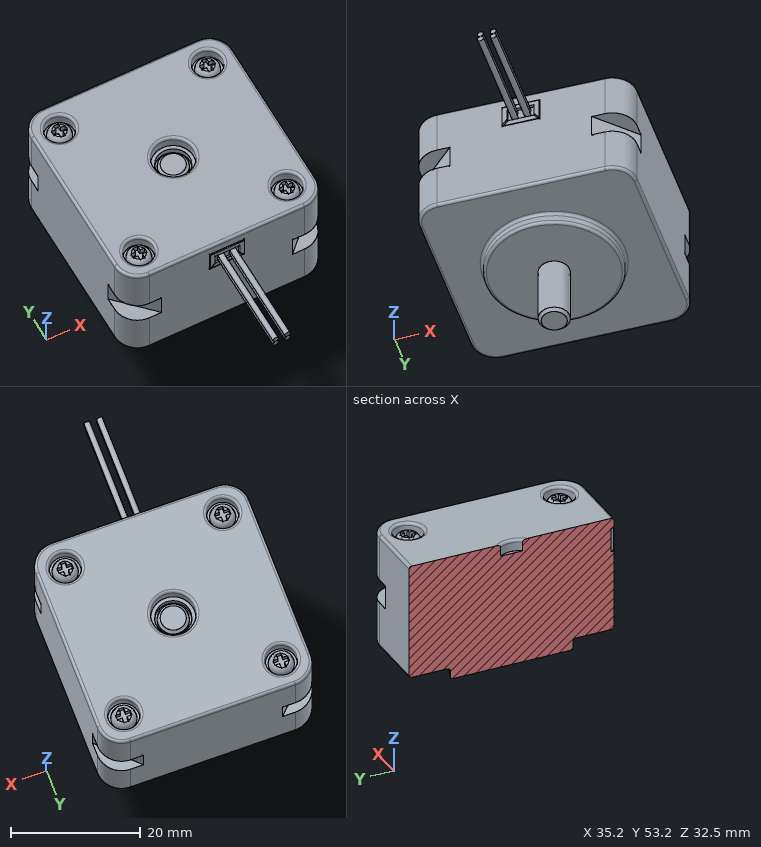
import cadquery as cq


OVERALL_LENGTH = 53.2

BODY_SIDE = 35.2
BODY_HEIGHT = 20.0
CORNER_RADIUS = 4.0
EDGE_FILLET = 0.5

BEVEL_LEG = 6.1
BEVEL_HEIGHT = 4.0

BOSS_DIAMETER = 22.0
BOSS_HEIGHT = 1.95

SHAFT_DIAMETER = 5.0
SHAFT_REACH = 12.5
SHAFT_CHAMFER = 0.5

SHAFT_WELL_DIAMETER = 7.0
SHAFT_WELL_DEPTH = 2.0
BORE_DIAMETER = 5.75
BORE_DEPTH = 1.0

SCREW_SPACING = 26.0
SCREW_WELL_DIAMETER = 5.0
SCREW_WELL_DEPTH = 2.0
HEAD_DIAMETER = 4.05
HEAD_HEIGHT = 1.5
HEAD_FLAT_DIAMETER = 2.35
SHOULDER_RADIUS_SHARE = 0.75
SHOULDER_HEIGHT_SHARE = 0.65
CROSS_LENGTH = 2.4
CROSS_ARM_WIDTH = 0.8
CROSS_DEPTH = 1.0

CONNECTOR_WIDTH = 5.95
CONNECTOR_HEIGHT = 3.85
CONNECTOR_TOP_GAP = 2.0
CONNECTOR_PROUD = 0.15
CLEARANCE = 0.1
CLEARANCE_DEPTH = 0.5
POCKET_WIDTH = 4.35
POCKET_HEIGHT = 2.1
POCKET_TOP_MARGIN = 0.85
POCKET_DEPTH = 0.5
STEP_DEPTH = CONNECTOR_PROUD
STEP_TAPER = 45

LEAD_DIAMETER = 1.0
LEAD_SPACING_X = 2.1
LEAD_OVERLAP = 0.025
LEAD_SPACING_Z = LEAD_DIAMETER - LEAD_OVERLAP
LEAD_END_Y = BODY_SIDE / 2 - OVERALL_LENGTH

CONNECTOR_FACE_Y = -BODY_SIDE / 2 - CONNECTOR_PROUD
CONNECTOR_TOP_Z = BODY_HEIGHT - CONNECTOR_TOP_GAP
CONNECTOR_BOTTOM_Z = CONNECTOR_TOP_Z - CONNECTOR_HEIGHT
POCKET_TOP_Z = CONNECTOR_TOP_Z - POCKET_TOP_MARGIN
POCKET_BOTTOM_Z = POCKET_TOP_Z - POCKET_HEIGHT
POCKET_BACK_Y = CONNECTOR_FACE_Y + POCKET_DEPTH


def cylinder(diameter, bottom, height):
    return cq.Workplane("XY").workplane(offset=bottom).circle(diameter / 2).extrude(height)


def rounded_well(diameter, depth):
    """Cutter for a round well in the top face whose rim is rounded outward."""
    radius = diameter / 2
    rim = radius + EDGE_FILLET
    bend = EDGE_FILLET * (1 - 0.5**0.5)
    return (
        cq.Workplane("XZ")
        .moveTo(0, BODY_HEIGHT - depth)
        .lineTo(radius, BODY_HEIGHT - depth)
        .lineTo(radius, BODY_HEIGHT - EDGE_FILLET)
        .threePointArc((radius + bend, BODY_HEIGHT - bend), (rim, BODY_HEIGHT))
        .lineTo(0, BODY_HEIGHT)
        .close()
        .revolve(360, (0, 0, 0), (0, 1, 0))
    )


def screw_head():
    """Domed head with a flat crown and a cross recess, standing on the well floor."""
    base = BODY_HEIGHT - SCREW_WELL_DEPTH
    crown = base + HEAD_HEIGHT
    head_radius = HEAD_DIAMETER / 2
    flat_radius = HEAD_FLAT_DIAMETER / 2
    shoulder_radius = flat_radius + SHOULDER_RADIUS_SHARE * (head_radius - flat_radius)
    shoulder_z = base + SHOULDER_HEIGHT_SHARE * HEAD_HEIGHT
    head = (
        cq.Workplane("XZ")
        .moveTo(0, base)
        .lineTo(head_radius, base)
        .threePointArc((shoulder_radius, shoulder_z), (flat_radius, crown))
        .lineTo(0, crown)
        .close()
        .revolve(360, (0, 0, 0), (0, 1, 0))
    )
    top_plane = cq.Workplane("XY").workplane(offset=crown)
    slot = top_plane.rect(CROSS_LENGTH, CROSS_ARM_WIDTH).extrude(-CROSS_DEPTH)
    cross_slot = top_plane.rect(CROSS_ARM_WIDTH, CROSS_LENGTH).extrude(-CROSS_DEPTH)
    return head.cut(slot).cut(cross_slot)


def body_block():
    """Rounded square body with the pilot boss blended into its underside."""
    block = cq.Workplane("XY").rect(BODY_SIDE, BODY_SIDE).extrude(BODY_HEIGHT)
    block = block.edges("|Z").fillet(CORNER_RADIUS)
    block = block.faces("<Z or >Z").edges().fillet(EDGE_FILLET)
    block = block.union(cylinder(BOSS_DIAMETER, -BOSS_HEIGHT, BOSS_HEIGHT))
    boss_end = block.faces("<Z").edges()
    boss_root = block.faces("<Z[1]").edges(cq.selectors.RadiusNthSelector(-1))
    return block.newObject(boss_end.vals() + boss_root.vals()).fillet(EDGE_FILLET)


def corner_bevels():
    """Cutter that leaves flat 45 degree corners on the mid-height band."""
    bottom = (BODY_HEIGHT - BEVEL_HEIGHT) / 2
    band = cq.Workplane("XY").workplane(offset=bottom).rect(BODY_SIDE, BODY_SIDE).extrude(BEVEL_HEIGHT)
    return band.cut(band.edges("|Z").chamfer(BEVEL_LEG))


def connector_block(margin, depth):
    """Block the size of the connector plus a margin all round, reaching inward from its face."""
    width = CONNECTOR_WIDTH + 2 * margin
    height = CONNECTOR_HEIGHT + 2 * margin
    block = cq.Workplane("XY").box(width, depth, height, centered=(True, False, False))
    return block.translate((0, CONNECTOR_FACE_Y, CONNECTOR_BOTTOM_Z - margin))


def connector_pocket():
    """Cutter for the lead pocket and the shallow flared step below it."""
    centered = (True, False, False)
    pocket = cq.Workplane("XY").box(POCKET_WIDTH, POCKET_DEPTH, POCKET_HEIGHT, centered=centered)
    pocket = pocket.translate((0, CONNECTOR_FACE_Y, POCKET_BOTTOM_Z))
    top_z = POCKET_BOTTOM_Z + STEP_DEPTH
    bottom_z = CONNECTOR_BOTTOM_Z - STEP_DEPTH
    half_bottom = CONNECTOR_WIDTH / 2 + STEP_DEPTH
    step = (
        cq.Workplane("XZ", origin=(0, CONNECTOR_FACE_Y, 0))
        .moveTo(-POCKET_WIDTH / 2, top_z)
        .lineTo(POCKET_WIDTH / 2, top_z)
        .lineTo(half_bottom, bottom_z)
        .lineTo(-half_bottom, bottom_z)
        .close()
        .extrude(-STEP_DEPTH, taper=STEP_TAPER)
    )
    return pocket.union(step)


def leads():
    """Four round leads running from the pocket floor to the far -Y end."""
    middle_z = (POCKET_TOP_Z + POCKET_BOTTOM_Z) / 2
    return (
        cq.Workplane("XZ", origin=(0, POCKET_BACK_Y, middle_z))
        .rarray(LEAD_SPACING_X, LEAD_SPACING_Z, 2, 2)
        .circle(LEAD_DIAMETER / 2)
        .extrude(POCKET_BACK_Y - LEAD_END_Y)
    )


shaft_top = BODY_HEIGHT - SHAFT_WELL_DEPTH
shaft = cylinder(SHAFT_DIAMETER, -SHAFT_REACH, shaft_top + SHAFT_REACH)
shaft = shaft.faces("<Z or >Z").edges().chamfer(SHAFT_CHAMFER)

motor = body_block().cut(corner_bevels())
motor = motor.cut(rounded_well(SHAFT_WELL_DIAMETER, SHAFT_WELL_DEPTH))
motor = motor.cut(cylinder(BORE_DIAMETER, shaft_top - BORE_DEPTH, BORE_DEPTH))
motor = motor.union(shaft)

for x in (-SCREW_SPACING / 2, SCREW_SPACING / 2):
    for y in (-SCREW_SPACING / 2, SCREW_SPACING / 2):
        motor = motor.cut(rounded_well(SCREW_WELL_DIAMETER, SCREW_WELL_DEPTH).translate((x, y, 0)))
        motor = motor.union(screw_head().translate((x, y, 0)))

clearance_depth = CONNECTOR_PROUD + CLEARANCE_DEPTH
motor = motor.cut(connector_block(CLEARANCE, clearance_depth))
motor = motor.union(connector_block(0, clearance_depth)).cut(connector_pocket())
result = motor.union(leads())